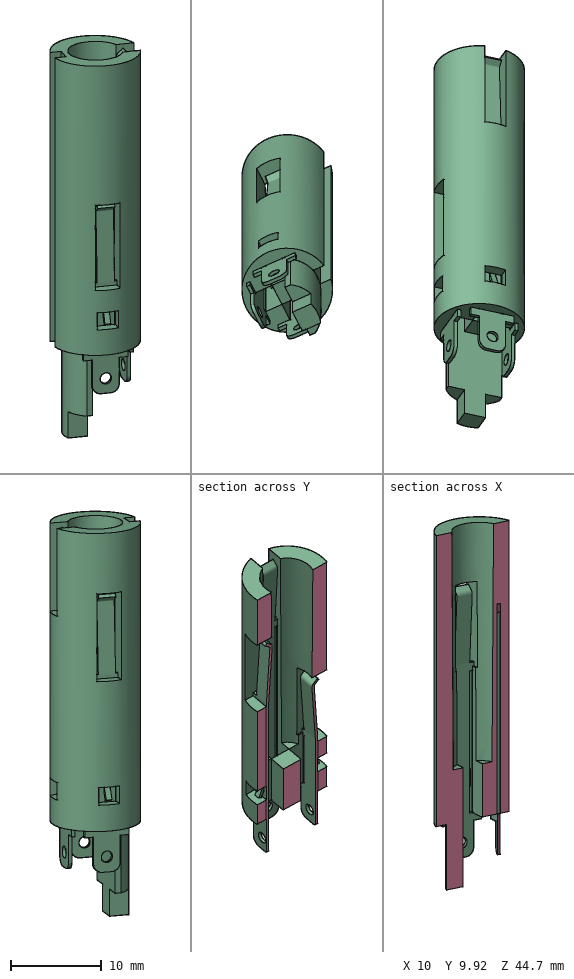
import cadquery as cq
import math


total_height = 44.7
housing_radius = 5.0
bore_radius = 3.05
bore_floor_radius = 2.85
housing_bottom = 10.75
floor_top = 17.0
key_width = 1.8
key_floor = 3.65

tang_radius = 3.7
tang_width = 6.35
tang_face = 1.25
tang_tip_width = 2.5
tang_step = 3.1

strip_inner = 3.25
strip_thickness = 0.4
strip_outer = strip_inner + strip_thickness
strip_width = 2.0
strip_offset = 0.15
blade_width = 3.1
blade_length = 5.0
blade_corner = 1.0
blade_hole_diameter = 1.3
blade_hole_drop = 3.25
flange_width = 5.15
flange_height = 0.95
shoulder_width = 2.85
shoulder_height = 1.0
shoulder_rise = 0.5

bend_inside_radius = 0.2
bend_reach = 2.75
bend_drop = 1.4
flare_turn = 50.0
flare_length = 0.75

barb_width = 0.65
barb_reach = 0.75
barb_drop = 1.6
barb_thickness = 0.4

window_height = 10.0
channel_width = 2.5
channel_start = 1.25
catch_width = 2.4
catch_bottom = 13.72
catch_top = 15.75

contact_places = [
    (0, total_height - 16.35, shoulder_width),
    (90, total_height, channel_width),
    (180, total_height - 6.9, shoulder_width),
]


def radial_box(start, end, width, bottom, top, offset=0.0):
    """Box on the +X side, from start to end distance from the axis."""
    return (
        cq.Workplane("XY")
        .box(end - start, width, top - bottom, centered=(False, True, False))
        .translate((start, offset, bottom))
    )


def cylinder_part(radius, bottom, top):
    """Cylinder around the Z axis."""
    return cq.Workplane("XY").workplane(offset=bottom).circle(radius).extrude(top - bottom)


def turned(shape, angle):
    """Shape turned about the Z axis."""
    return shape.rotate((0, 0, 0), (0, 0, 1), angle)


def make_tang():
    """Cylinder segment with flat sides, narrower at its lower end."""
    upper = radial_box(tang_face, 2 * tang_radius, tang_width, tang_step, housing_bottom)
    tip = radial_box(tang_face, 2 * tang_radius, tang_tip_width, 0, tang_step)
    return cylinder_part(tang_radius, 0, housing_bottom).intersect(turned(upper.union(tip), -90))


def make_contact_opening(window_top, window_width):
    """Channel, strip pocket and windows for one contact."""
    window_bottom = window_top - window_height
    pocket_top = window_bottom + shoulder_rise
    window = radial_box(channel_start, 2 * housing_radius, window_width, window_bottom, window_top)
    channel = radial_box(channel_start, strip_outer, channel_width, housing_bottom, window_bottom)
    pocket = radial_box(strip_inner, strip_outer, shoulder_width, housing_bottom, pocket_top)
    catch = radial_box(strip_inner, 2 * housing_radius, catch_width, catch_bottom, catch_top)
    return window.union(channel).union(pocket).union(catch)


def make_housing():
    """Tube with floor, tang, keyway and the three contact openings."""
    tube = cylinder_part(housing_radius, housing_bottom, total_height)
    bore = cq.Solid.makeCone(
        bore_floor_radius, bore_radius, total_height - floor_top, pnt=cq.Vector(0, 0, floor_top)
    )
    tube = tube.cut(cq.Workplane(bore))
    keyway = turned(
        radial_box(key_floor, 2 * housing_radius, key_width, housing_bottom, total_height), -90
    )
    tube = tube.cut(keyway)
    for angle, window_top, window_width in contact_places:
        tube = tube.cut(turned(make_contact_opening(window_top, window_width), angle))
    return tube.union(make_tang())


def make_blade():
    """Solder blade with flange, rounded lower corners and a hole."""
    flange = radial_box(
        strip_inner, strip_outer, flange_width, housing_bottom - flange_height, housing_bottom, strip_offset
    )
    blade = radial_box(
        strip_inner, strip_outer, blade_width, housing_bottom - blade_length, housing_bottom, strip_offset
    )
    blade = blade.edges("|X and <Z").fillet(blade_corner)
    hole = (
        cq.Workplane("YZ")
        .center(strip_offset, housing_bottom - blade_hole_drop)
        .circle(blade_hole_diameter / 2)
        .extrude(2 * strip_outer)
    )
    return blade.union(flange).cut(hole)


def extruded_profile(profile, width):
    """Radial-plane profile given a width about the strip's middle."""
    return profile.close().extrude(width / 2, both=True).translate((0, strip_offset, 0))


def make_spring(shoulder_top, window_top):
    """Leaning spring arm with a rounded bend and a flared end."""
    bend_outside_radius = bend_inside_radius + strip_thickness
    center_x = bend_reach + bend_outside_radius
    center_z = window_top - bend_drop
    turn = math.radians(flare_turn)
    flare_x = flare_length * math.sin(turn)
    flare_z = flare_length * math.cos(turn)

    def bend_point(radius, angle):
        """Point on the bend, angle measured from the end of the leaning arm."""
        return (center_x - radius * math.cos(angle), center_z + radius * math.sin(angle))

    inside_end = bend_point(bend_inside_radius, turn)
    outside_end = bend_point(bend_outside_radius, turn)
    profile = (
        cq.Workplane("XZ")
        .moveTo(strip_outer, shoulder_top)
        .lineTo(*bend_point(bend_inside_radius, 0))
        .threePointArc(bend_point(bend_inside_radius, turn / 2), inside_end)
        .lineTo(inside_end[0] + flare_x, inside_end[1] + flare_z)
        .lineTo(outside_end[0] + flare_x, outside_end[1] + flare_z)
        .lineTo(*outside_end)
        .threePointArc(bend_point(bend_outside_radius, turn / 2), bend_point(bend_outside_radius, 0))
        .lineTo(strip_inner, shoulder_top)
    )
    return extruded_profile(profile, strip_width)


def make_barb():
    """Tongue sloping outward and down from the strip, with a square-cut tip."""
    slope_length = math.hypot(barb_reach, barb_drop)
    tip_radius = strip_outer + barb_reach
    tip_height = catch_top - barb_drop
    profile = (
        cq.Workplane("XZ")
        .moveTo(strip_outer, catch_top)
        .lineTo(tip_radius, tip_height)
        .lineTo(
            tip_radius - barb_thickness * barb_drop / slope_length,
            tip_height - barb_thickness * barb_reach / slope_length,
        )
        .lineTo(strip_outer, catch_top - barb_thickness * slope_length / barb_reach)
    )
    return extruded_profile(profile, barb_width)


def make_contact(window_top):
    """One contact: blade, strip, shoulder, barb and spring."""
    shoulder_top = window_top - window_height + shoulder_rise
    strip = radial_box(
        strip_inner, strip_outer, strip_width, housing_bottom, shoulder_top, strip_offset
    )
    shoulder = radial_box(
        strip_inner, strip_outer, shoulder_width, shoulder_top - shoulder_height, shoulder_top
    )
    contact = make_blade().union(strip).union(shoulder)
    return contact.union(make_barb()).union(make_spring(shoulder_top, window_top))


housing = make_housing()
contacts = [turned(make_contact(window_top), angle) for angle, window_top, _ in contact_places]

result = cq.Compound.makeCompound([housing.val(), *[contact.val() for contact in contacts]])